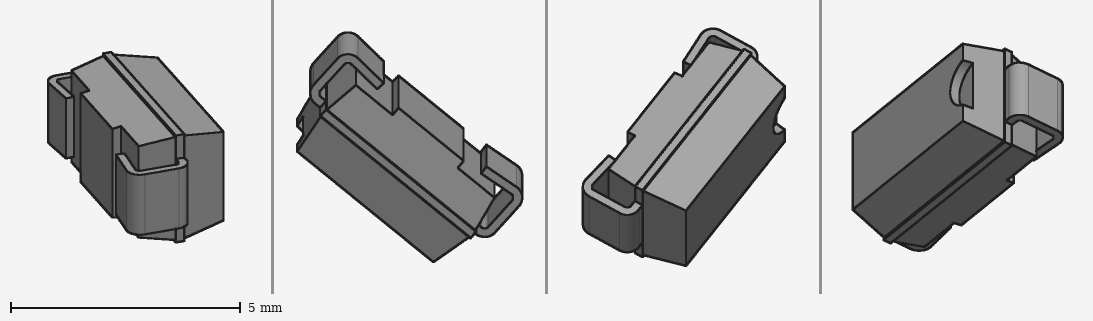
import cadquery as cq
import math

total_length = 5.21
total_depth = 2.4
total_height = 2.6

sheet_thickness = 0.2
half_depth = 1.0
draft_angle = 10.0
flange_length = 4.315
flange_lip_x = 0.025
flange_lip_z = 0.045
root_length = flange_length - 2 * flange_lip_x
root_height = total_height - 2 * flange_lip_z

pad_length = 1.87
pad_height = 0.2

mark_radius = 0.65
mark_depth = 0.25

lead_width = 1.46
bend_outer_radius = 0.3
bend_inner_radius = bend_outer_radius - sheet_thickness
foot_tilt = 5.0
foot_length = 0.81

flange_back_y = sheet_thickness / 2
flange_front_y = -flange_back_y
body_back_y = flange_back_y + half_depth
body_front_y = flange_front_y - half_depth
lead_front_y = body_back_y - total_depth


def drafted_half(start_y, depth):
    """Tapered block on the flange; a negative depth runs toward +Y."""
    return (
        cq.Workplane("XZ", origin=(0, start_y, 0))
        .rect(root_length, root_height)
        .extrude(depth, taper=draft_angle)
    )


def pad_relief(side):
    """Block that lowers the mounting face between the pad and one end."""
    relief_length = (flange_length - pad_length) / 2
    relief_x = side * (pad_length + relief_length) / 2
    return cq.Workplane("XY").box(relief_length, pad_height, total_height).translate(
        (relief_x, body_front_y + pad_height / 2, 0)
    )


def make_body():
    flange = cq.Workplane("XY").box(flange_length, sheet_thickness, total_height)
    body = (
        flange
        .union(drafted_half(flange_back_y, -half_depth))
        .union(drafted_half(flange_front_y, half_depth))
    )
    for side in (-1, 1):
        body = body.cut(pad_relief(side))
    mark = (
        cq.Workplane("XZ", origin=(-flange_length / 2, body_back_y, 0))
        .circle(mark_radius)
        .extrude(mark_depth)
    )
    return body.cut(mark).solids()


def make_left_lead():
    """Bent strip: out from the flange, along the end of the body, then under it."""
    outer_x = -total_length / 2
    bend_x = outer_x + bend_outer_radius
    back_bend_y = flange_back_y - bend_outer_radius
    foot_bend_y = lead_front_y + bend_outer_radius

    def on_bend(center_y, radius, degrees):
        angle = math.radians(degrees)
        return bend_x + radius * math.cos(angle), center_y + radius * math.sin(angle)

    def foot_tip(bend_end):
        tilt = math.radians(foot_tilt)
        return bend_end[0] + foot_length * math.cos(tilt), bend_end[1] + foot_length * math.sin(tilt)

    foot_end_angle = 270 + foot_tilt
    foot_mid_angle = (180 + foot_end_angle) / 2
    outer_foot_start = on_bend(foot_bend_y, bend_outer_radius, foot_end_angle)
    inner_foot_start = on_bend(foot_bend_y, bend_inner_radius, foot_end_angle)

    return (
        cq.Workplane("XY", origin=(0, 0, -lead_width / 2))
        .moveTo(-flange_length / 2, flange_back_y)
        .lineTo(bend_x, flange_back_y)
        .threePointArc(
            on_bend(back_bend_y, bend_outer_radius, 135),
            on_bend(back_bend_y, bend_outer_radius, 180),
        )
        .lineTo(outer_x, foot_bend_y)
        .threePointArc(on_bend(foot_bend_y, bend_outer_radius, foot_mid_angle), outer_foot_start)
        .lineTo(*foot_tip(outer_foot_start))
        .lineTo(*foot_tip(inner_foot_start))
        .lineTo(*inner_foot_start)
        .threePointArc(
            on_bend(foot_bend_y, bend_inner_radius, foot_mid_angle),
            on_bend(foot_bend_y, bend_inner_radius, 180),
        )
        .lineTo(outer_x + sheet_thickness, back_bend_y)
        .threePointArc(
            on_bend(back_bend_y, bend_inner_radius, 135),
            on_bend(back_bend_y, bend_inner_radius, 90),
        )
        .lineTo(-flange_length / 2, flange_front_y)
        .close()
        .extrude(lead_width)
    )


def make_lead(side):
    """Lead at the -X end (side -1) or its mirror image at the +X end (side 1)."""
    left_lead = make_left_lead()
    return left_lead if side < 0 else left_lead.mirror("YZ")


body = make_body()
leads = [make_lead(side) for side in (-1, 1)]

result = cq.Compound.makeCompound([body.val(), *[lead.val() for lead in leads]])